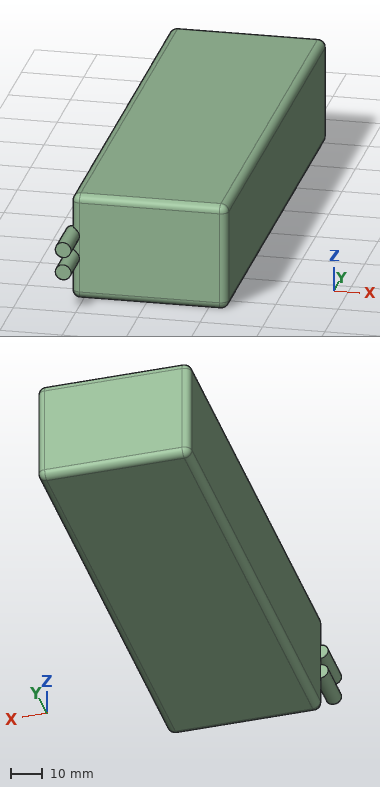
import cadquery as cq

total_length = 162.7
case_width = 50.0
case_length = 150.0
case_height = 35.0

lead_diameter = 5.0
edge_radius = lead_diameter / 2
lead_spacing = 7.5
lead_overlap = edge_radius
lead_length = total_length - case_length + lead_overlap

case_left = -case_width / 2
case_front = -case_length / 2


def make_case():
    """Solid block with every edge rounded, centred on the origin."""
    return cq.Workplane("XY").box(case_width, case_length, case_height).edges().fillet(edge_radius)


def make_leads():
    """Pair of cylinders, one above the other, pointing toward -Y."""
    lead_start = case_front + lead_overlap
    return (
        cq.Workplane("XZ", origin=(case_left, lead_start, 0))
        .pushPoints([(0, -lead_spacing / 2), (0, lead_spacing / 2)])
        .circle(lead_diameter / 2)
        .extrude(lead_length)
    )


result = make_case().union(make_leads())